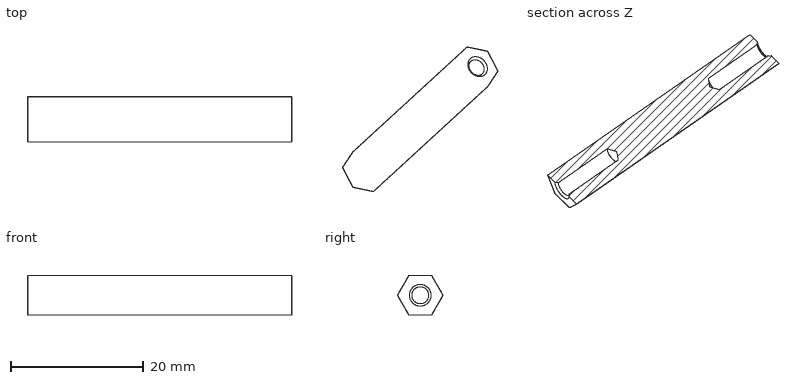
import cadquery as cq
import math

length = 40.0
across_flats = 6.0
edge_radius = 0.1

bore_diameter = 2.55
mouth_diameter = 3.3
bore_depth = 10.0
drill_point_angle = 118.0

half_length = length / 2
sharp_corner_diameter = across_flats / math.cos(math.pi / 6)


def hexagonal_bar():
    """Hexagon with corners on +Y and -Y along X, every outer edge slightly rounded."""
    return (
        cq.Workplane("YZ")
        .polygon(6, sharp_corner_diameter)
        .extrude(half_length, both=True)
        .edges()
        .fillet(edge_radius)
    )


def blind_bore(side):
    """Countersunk bore with a drill point, in the +X (1) or -X (-1) end."""
    bore_radius = bore_diameter / 2
    mouth_radius = mouth_diameter / 2
    countersink_depth = mouth_radius - bore_radius
    point_length = bore_radius / math.tan(math.radians(drill_point_angle / 2))
    depth_and_radius = [
        (0, 0),
        (0, mouth_radius),
        (countersink_depth, bore_radius),
        (bore_depth, bore_radius),
        (bore_depth + point_length, 0),
    ]
    profile = [(side * (half_length - depth), radius) for depth, radius in depth_and_radius]
    return cq.Workplane("XY").polyline(profile).close().revolve(360, (0, 0, 0), (1, 0, 0))


result = hexagonal_bar()
for side in (-1, 1):
    result = result.cut(blind_bore(side))